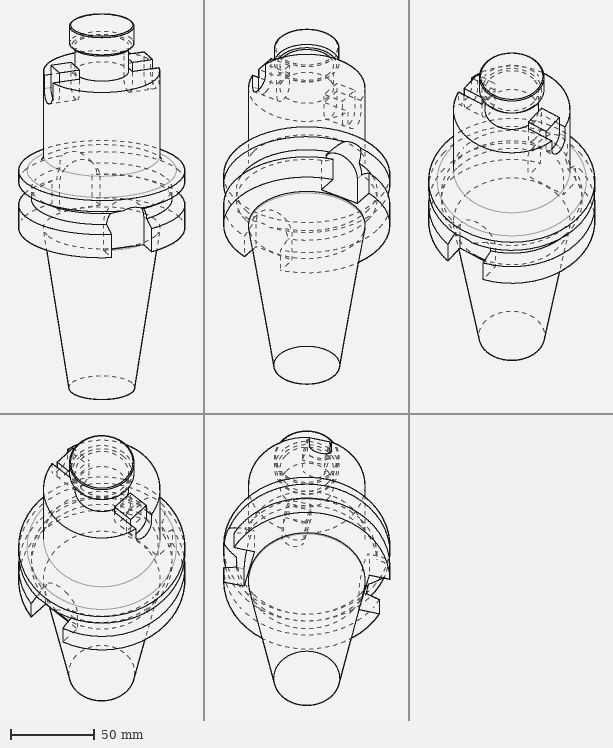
import cadquery as cq

TOTAL_HEIGHT = 233.5
TAPER_TOP = 101.8
FLANGE_BOTTOM = 103.0
GROOVE_LOWER_EDGE = 118.0
GROOVE_FLOOR_BOTTOM = 121.5
GROOVE_FLOOR_TOP = 128.5
GROOVE_UPPER_EDGE = 132.7
FLANGE_TOP = 140.0
NOSE_TOP = 203.7

TAPER_SMALL_RADIUS = 19.9
NOSE_RADIUS = 35.0
FLANGE_RADIUS = 50.0
GROOVE_RADIUS = 42.3
NOSE_FILLET = 9.8

SLOT_WIDTH = 26.0
SLOT_TOP = 134.0
SLOT_FLOOR = 35.5

KEY_WIDTH = 13.8
KEY_INNER = 17.0
KEY_OUTER = 30.1
KEY_TOP = 209.5
KEY_BOTTOM = 188.2

HEAD_RADIUS = 19.5
HEAD_BOTTOM = 220.5
HEAD_CHAMFER_TOP = 0.7
HEAD_CHAMFER_BOTTOM = 1.5
SHANK_RADIUS = 16.0


def key_prism(inner, outer, top):
    """Round-bottomed bar on the -Y side, between two distances from the axis."""
    half = KEY_WIDTH / 2
    return (
        cq.Workplane("XZ", origin=(0, -inner, 0))
        .moveTo(-half, top)
        .lineTo(-half, KEY_BOTTOM + half)
        .threePointArc((0, KEY_BOTTOM), (half, KEY_BOTTOM + half))
        .lineTo(half, top)
        .close()
        .extrude(outer - inner)
    )


def flange_slot():
    """Cutter for the +X drive slot: open at the bottom, round at the top."""
    half = SLOT_WIDTH / 2
    return (
        cq.Workplane("YZ", origin=(SLOT_FLOOR, 0, 0))
        .moveTo(-half, TAPER_TOP)
        .lineTo(-half, SLOT_TOP - half)
        .threePointArc((0, SLOT_TOP), (half, SLOT_TOP - half))
        .lineTo(half, TAPER_TOP)
        .close()
        .extrude(FLANGE_RADIUS)
    )


def holder_blank():
    """Taper, grooved flange and nose turned about Z, with a fillet above the flange."""
    fillet_slack = NOSE_FILLET * (1 - 0.5 ** 0.5)
    fillet_middle = (NOSE_RADIUS + fillet_slack, FLANGE_TOP + fillet_slack)
    return (
        cq.Workplane("XZ")
        .lineTo(TAPER_SMALL_RADIUS, 0)
        .lineTo(NOSE_RADIUS, TAPER_TOP)
        .lineTo(NOSE_RADIUS, FLANGE_BOTTOM)
        .lineTo(FLANGE_RADIUS, FLANGE_BOTTOM)
        .lineTo(FLANGE_RADIUS, GROOVE_LOWER_EDGE)
        .lineTo(GROOVE_RADIUS, GROOVE_FLOOR_BOTTOM)
        .lineTo(GROOVE_RADIUS, GROOVE_FLOOR_TOP)
        .lineTo(FLANGE_RADIUS, GROOVE_UPPER_EDGE)
        .lineTo(FLANGE_RADIUS, FLANGE_TOP)
        .lineTo(NOSE_RADIUS + NOSE_FILLET, FLANGE_TOP)
        .threePointArc(fillet_middle, (NOSE_RADIUS, FLANGE_TOP + NOSE_FILLET))
        .lineTo(NOSE_RADIUS, NOSE_TOP)
        .lineTo(0, NOSE_TOP)
        .close()
        .revolve(360, (0, 0), (0, 1))
    )


def about_axis(shape, angle):
    return shape.rotate((0, 0, 0), (0, 0, 1), angle)


def make_holder():
    """Holder with two flange slots and two key slots that run out through the nose wall."""
    body = holder_blank()
    key_slot = key_prism(KEY_INNER, NOSE_RADIUS, NOSE_TOP)
    for angle in (0, 180):
        body = body.cut(about_axis(flange_slot(), angle))
        body = body.cut(about_axis(key_slot, angle))
    return body


def make_screw():
    """Screw standing on the nose, with a chamfered head."""
    shank = (
        cq.Workplane("XY", origin=(0, 0, NOSE_TOP))
        .circle(SHANK_RADIUS)
        .extrude(HEAD_BOTTOM - NOSE_TOP)
    )
    head = (
        cq.Workplane("XY", origin=(0, 0, HEAD_BOTTOM))
        .circle(HEAD_RADIUS)
        .extrude(TOTAL_HEIGHT - HEAD_BOTTOM)
        .faces(">Z").chamfer(HEAD_CHAMFER_TOP)
        .faces("<Z").chamfer(HEAD_CHAMFER_BOTTOM)
    )
    return shank.union(head)


def make_key(angle):
    """One drive key, seated in its slot and standing above the nose."""
    return about_axis(key_prism(KEY_INNER, KEY_OUTER, KEY_TOP), angle)


holder = make_holder()
screw = make_screw()
keys = [make_key(angle) for angle in (0, 180)]

result = cq.Compound.makeCompound([holder.val(), screw.val(), *[key.val() for key in keys]])